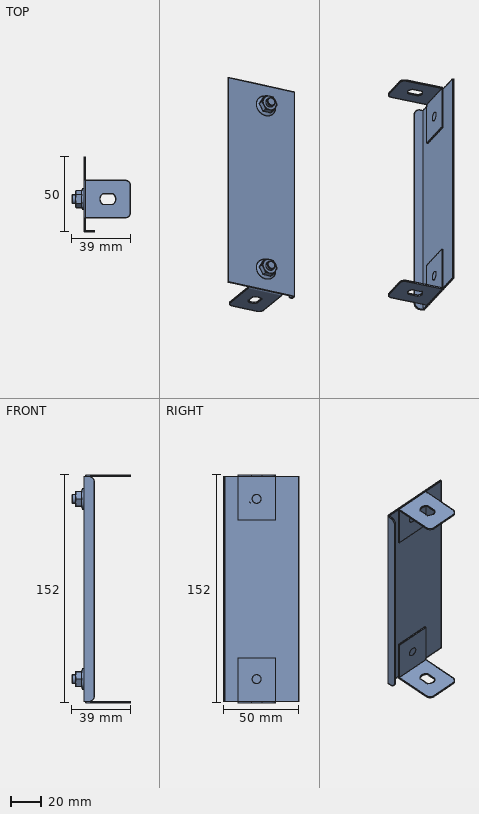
import cadquery as cq
import math

sheet = 1.0
overall_height = 152
plate_width = 50.0
lip_depth = 7.0
plate_bend_radius = 1.0
lip_corner_radius = 4.0

bracket_leg = 30.0
bracket_width = 25.1
bracket_bend_radius = 1.0
bracket_corner_radius = 3.5
slot_length = 10.3
slot_width = 7.0
slot_end_bulge = 1.8
slot_from_end = 15.0

stud_diameter = 6.0
stud_tip_diameter = 5.0
stud_reach = 8.0
stud_spacing = 120.0

nut_across_flats = 10.0
nut_height = 5.6
nut_face_diameter = 9.9
nut_chamfer_angle = 30
nut_flange_diameter = 14.1
nut_flange_rim = 0.6
nut_flange_rounding = 0.5
nut_flange_height = 1.7

plate_height = overall_height - 2 * sheet
plate_centre_y = 3
lip_y = plate_centre_y - plate_width / 2
bracket_x = sheet
stud_end_x = bracket_x + sheet
stud_heights = (stud_spacing / 2, -stud_spacing / 2)


def cut_stud_hole(body, height):
    hole = cq.Workplane("YZ", origin=(0, 0, height)).circle(stud_diameter / 2).extrude(stud_end_x)
    return body.cut(hole)


def make_plate():
    web = cq.Workplane("XY").box(sheet, plate_width, plate_height, centered=(False, True, True))
    web = web.translate((0, plate_centre_y, 0))
    lip = (
        cq.Workplane("XY", origin=(0, lip_y, 0))
        .box(lip_depth, sheet, plate_height, centered=(False, False, True))
        .edges("|Y and >X").fillet(lip_corner_radius)
    )
    plate = web.union(lip)
    plate = plate.edges("|Z and <X and <Y").fillet(plate_bend_radius)
    for height in stud_heights:
        plate = cut_stud_hole(plate, height)
    return plate


def make_upper_bracket():
    top = overall_height / 2
    bracket = (
        cq.Workplane("XZ", origin=(bracket_x, 0, top))
        .polyline([(0, 0), (bracket_leg, 0), (bracket_leg, -sheet), (sheet, -sheet),
                   (sheet, -bracket_leg), (0, -bracket_leg)])
        .close()
        .extrude(bracket_width / 2, both=True)
        .edges("|Y and <X and >Z").fillet(bracket_bend_radius)
        .edges("|Z and >X").fillet(bracket_corner_radius)
    )
    slot_side = slot_length / 2 - slot_end_bulge
    slot_edge = slot_width / 2
    slot = (
        cq.Workplane("XY", origin=(bracket_x + bracket_leg - slot_from_end, 0, top))
        .moveTo(-slot_side, -slot_edge)
        .lineTo(slot_side, -slot_edge)
        .threePointArc((slot_length / 2, 0), (slot_side, slot_edge))
        .lineTo(-slot_side, slot_edge)
        .threePointArc((-slot_length / 2, 0), (-slot_side, -slot_edge))
        .close()
        .extrude(-sheet)
    )
    return cut_stud_hole(bracket.cut(slot), stud_heights[0])


def make_stud(height):
    tip = (stud_diameter - stud_tip_diameter) / 2
    return (
        cq.Workplane("YZ", origin=(-stud_reach, 0, height))
        .circle(stud_diameter / 2).extrude(stud_reach + stud_end_x)
        .faces("<X").chamfer(tip)
    )


def make_nut(height):
    inscribed_radius = nut_across_flats / 2
    corner_radius = inscribed_radius / math.cos(math.pi / 6)
    face_radius = nut_face_diameter / 2
    trim_depth = (corner_radius - face_radius) * math.tan(math.radians(nut_chamfer_angle))
    hexagon = cq.Workplane("YZ", origin=(-nut_height, 0, 0)).polygon(6, 2 * corner_radius).extrude(nut_height)
    trim_cone = (
        cq.Workplane("XY")
        .polyline([(0, 0), (0, corner_radius), (trim_depth - nut_height, corner_radius),
                   (-nut_height, face_radius), (-nut_height, 0)])
        .close()
        .revolve(360, (0, 0, 0), (1, 0, 0))
    )
    rim_radius = nut_flange_diameter / 2
    flange = (
        cq.Workplane("XY")
        .moveTo(0, 0)
        .lineTo(0, rim_radius)
        .lineTo(-nut_flange_rim, rim_radius)
        .tangentArcPoint((-nut_flange_rounding, -nut_flange_rounding))
        .lineTo(-nut_flange_height, inscribed_radius)
        .lineTo(-nut_flange_height, 0)
        .close()
        .revolve(360, (0, 0, 0), (1, 0, 0))
    )
    bore = cq.Workplane("YZ", origin=(-nut_height, 0, 0)).circle(stud_diameter / 2).extrude(nut_height)
    nut = hexagon.intersect(trim_cone).union(flange).cut(bore)
    return nut.translate((0, 0, height))


plate = make_plate()
upper_bracket = make_upper_bracket()
brackets = [upper_bracket, upper_bracket.mirror("XY")]
studs = [make_stud(height) for height in stud_heights]
nuts = [make_nut(height) for height in stud_heights]

bodies = [plate, *brackets, *studs, *nuts]
result = cq.Compound.makeCompound([body.val() for body in bodies])